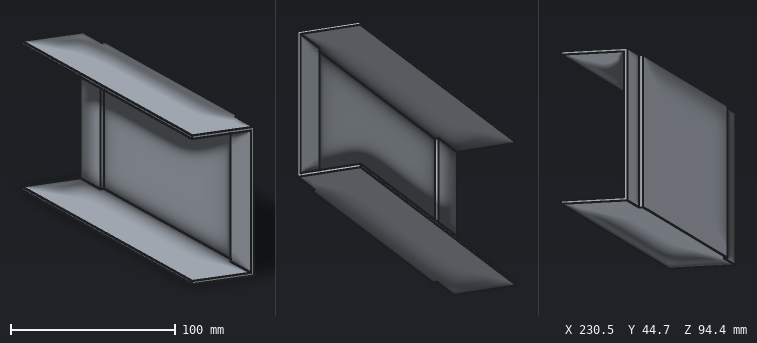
import cadquery as cq

length = 230.5
depth = 44.7
height = 94.4

sheet = 2.2
joggle_offset = 2.5
joggle_length = 180.0

flange_reach = depth - joggle_offset


def centred_block(size_x, front_y, back_y, size_z):
    """Block centred on X and Z, running from front_y to back_y."""
    block = cq.Workplane("XY").box(size_x, back_y - front_y, size_z, centered=(True, False, True))
    return block.translate((0, front_y, 0))


def channel_body():
    """Outer envelope: full-length channel plus the raised middle of the back."""
    main = centred_block(length, 0, flange_reach, height)
    raised_back = centred_block(joggle_length, 0, depth, height)
    return main.union(raised_back)


def channel_cavity():
    """Inner space one sheet thickness inside the envelope, open at the front and ends."""
    inner_height = height - 2 * sheet
    main = centred_block(length, 0, flange_reach - sheet, inner_height)
    recess = centred_block(joggle_length - 2 * sheet, 0, depth - sheet, inner_height)
    return main.union(recess)


result = channel_body().cut(channel_cavity())